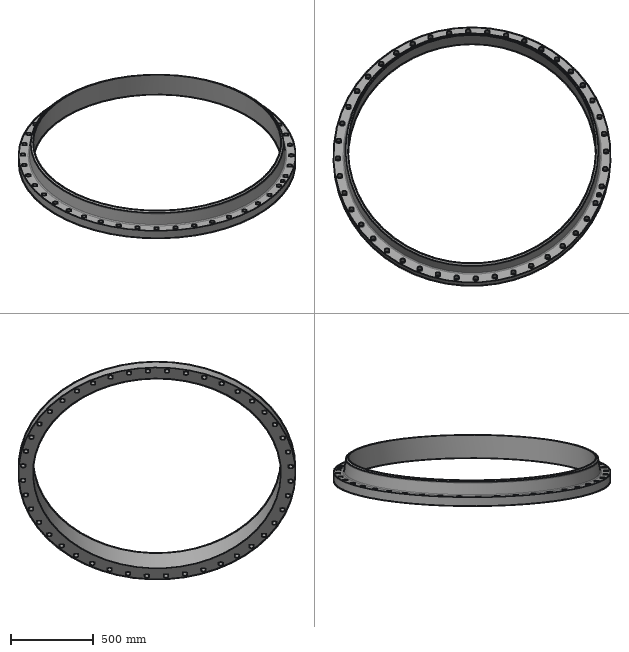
import cadquery as cq

flange_radius = 838.0
flange_height = 55.0
bore_radius = 749.0

total_height = 144.0
neck_base_radius = 776.0
neck_fillet_radius = 7.0
rim_radius = 765.0
rim_band_height = 5.0
bevel_height = 8.0
bevel_land = 2.0

bolt_count = 44
bolt_circle_radius = 811.0
bolt_hole_diameter = 28.0
bolt_pitch_angle = 360.0 / bolt_count

step_diameters = (25.0, 13.0)
step_depths = (27.0, 40.0)
stepped_hole_angle = bolt_pitch_angle / 2

rim_top = total_height - bevel_height
rim_bottom = rim_top - rim_band_height

root_reach = (neck_base_radius + flange_radius) / 2
root_margin = neck_fillet_radius


def make_ring():
    """Revolve the flange and its tapered, bevelled neck about Z."""
    profile = (
        cq.Workplane("XZ")
        .moveTo(bore_radius, 0)
        .lineTo(flange_radius, 0)
        .lineTo(flange_radius, flange_height)
        .lineTo(neck_base_radius, flange_height)
        .lineTo(rim_radius, rim_bottom)
        .lineTo(rim_radius, rim_top)
        .lineTo(bore_radius + bevel_land, total_height)
        .lineTo(bore_radius, total_height)
        .close()
    )
    ring = profile.revolve(360, (0, 0, 0), (0, 1, 0))
    root_box = cq.selectors.BoxSelector(
        (-root_reach, -root_reach, flange_height - root_margin),
        (root_reach, root_reach, flange_height + root_margin),
        boundingbox=True,
    )
    return ring.edges(root_box).fillet(neck_fillet_radius)


def make_bolt_holes():
    """Through holes evenly spaced on the bolt circle, the first on +X."""
    return (
        cq.Workplane("XY")
        .polarArray(bolt_circle_radius, 0, 360, bolt_count)
        .circle(bolt_hole_diameter / 2)
        .extrude(flange_height)
    )


def make_stepped_hole():
    """Blind hole sunk from the flange face, wide at first and then narrow."""
    hole = cq.Workplane("XY")
    for diameter, depth in zip(step_diameters, step_depths):
        hole = hole.union(cq.Workplane("XY").circle(diameter / 2).extrude(-depth))
    return (
        hole.translate((bolt_circle_radius, 0, flange_height))
        .rotate((0, 0, 0), (0, 0, 1), stepped_hole_angle)
    )


result = make_ring().cut(make_bolt_holes()).cut(make_stepped_hole())